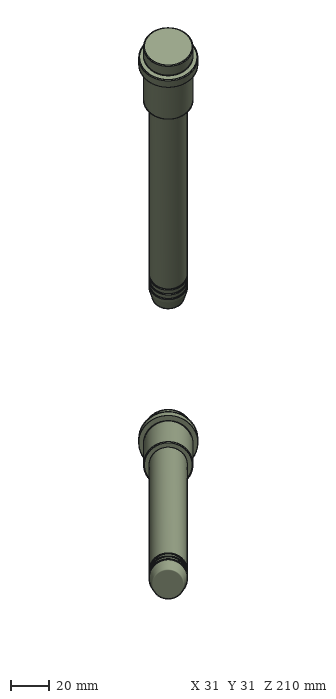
import cadquery as cq

total_length = 210.0
flange_radius = 15.5
head_radius = 13.0
shaft_radius = 10.0
tip_radius = 8.5

taper_height = 7.5
sleeve_bottom = 164.6
flange_bottom = 195.0
flange_top = 201.0

undercut_depth = 0.5
undercut_neck = 0.5

groove_count = 3
first_groove_height = 10.5
groove_pitch = 4.0
groove_width = 1.0
groove_depth = 0.5

rim_chamfer = 0.5
tip_fillet = 0.6


def disc(radius, bottom, top):
    """Solid cylinder on the Z axis between two heights."""
    return cq.Workplane("XY").workplane(offset=bottom).circle(radius).extrude(top - bottom)


def v_ring(height):
    """Ring with a triangular section that cuts one V groove into the shaft."""
    section = [
        (shaft_radius - groove_depth, height),
        (shaft_radius + groove_depth, height + groove_width),
        (shaft_radius + groove_depth, height - groove_width),
    ]
    return cq.Workplane("XZ").polyline(section).close().revolve(360, (0, 0), (0, 1))


def make_shaft():
    """Slim shaft with a tapered, rounded tip and three shallow V grooves."""
    shaft = disc(shaft_radius, taper_height, sleeve_bottom)
    taper = (
        cq.Workplane("XY")
        .circle(tip_radius)
        .workplane(offset=taper_height)
        .circle(shaft_radius)
        .loft(ruled=True)
    )
    shaft = shaft.union(taper).faces("<Z").edges().fillet(tip_fillet)
    for index in range(groove_count):
        shaft = shaft.cut(v_ring(first_groove_height + index * groove_pitch))
    return shaft


def make_sleeve():
    """Thick sleeve below the flange, chamfered at its foot and at the undercut."""
    sleeve = disc(head_radius, sleeve_bottom, flange_bottom - undercut_neck)
    sleeve = sleeve.faces("<Z").edges().chamfer(rim_chamfer)
    return sleeve.faces(">Z").edges().chamfer(undercut_depth)


def make_flange():
    """Collar with a chamfered upper rim, set on a neck that forms both undercuts."""
    collar = disc(flange_radius, flange_bottom, flange_top).faces(">Z").edges().chamfer(rim_chamfer)
    neck = disc(
        head_radius - undercut_depth,
        flange_bottom - undercut_neck,
        flange_top + undercut_neck,
    )
    return collar.union(neck)


def make_head():
    """Cylindrical head above the flange, chamfered at the undercut and on top."""
    head = disc(head_radius, flange_top + undercut_neck, total_length)
    head = head.faces("<Z").edges().chamfer(undercut_depth)
    return head.faces(">Z").edges().chamfer(rim_chamfer)


result = make_shaft().union(make_sleeve()).union(make_flange()).union(make_head())